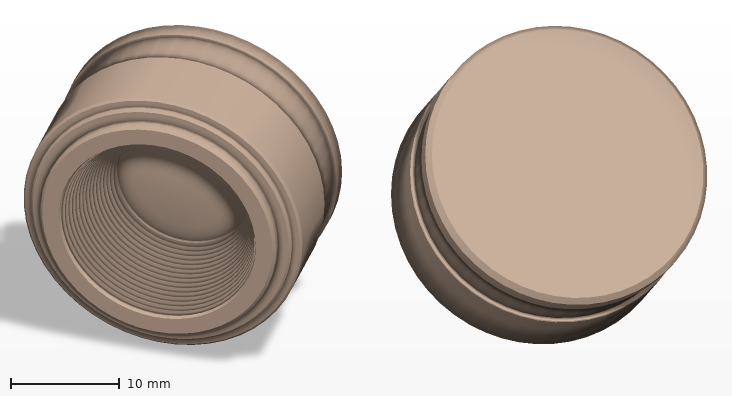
import cadquery as cq
import math

outer_radius = 13.37
total_length = 14.95

nose_radius = 11.298
nose_chamfer_radial = 0.27
nose_chamfer_length = 0.32
core_front = 1.07
core_radius = 12.5
core_chamfer = 0.21
neck_radius = 12.97
flange_start = 12.92
flange_front_chamfer = 0.1
flange_rear_chamfer = 0.5

sleeve_front = 1.6
sleeve_rear = 8.9
sleeve_front_chamfer = 0.21
sleeve_rear_chamfer = 0.08

mouth_radius = 9.45
mouth_chamfer_radial = 0.13
mouth_chamfer_length = 0.32
aperture_radius = 6.405
ridge_count = 16
ridge_undercut = 0.25
aperture_length = 0.32
lens_seat = 8.7

lens_radius = 7.1
lens_bulge = 0.8


def revolve_profile(sketch):
    """Turn a closed (radius, Y) profile about the Y axis."""
    return sketch.close().revolve(360, (0, 0, 0), (0, 1, 0))


def make_baffled_bore():
    """Space inside the bore, from the mouth to the lens seat."""
    first_radius = mouth_radius - mouth_chamfer_radial
    radial_step = (first_radius - aperture_radius) / ridge_count
    pitch = (lens_seat - aperture_length - mouth_chamfer_length) / ridge_count
    points = [(0, 0), (mouth_radius, 0), (first_radius, mouth_chamfer_length)]
    for ridge in range(ridge_count):
        crest_radius = first_radius - ridge * radial_step
        root_y = mouth_chamfer_length + (ridge + 1) * pitch
        points.append((crest_radius + ridge_undercut, root_y))
        points.append((crest_radius - radial_step, root_y))
    points.append((aperture_radius, lens_seat))
    points.append((0, lens_seat))
    return revolve_profile(cq.Workplane("XY").polyline(points))


def make_barrel():
    points = [
        (0, 0),
        (nose_radius - nose_chamfer_radial, 0),
        (nose_radius, nose_chamfer_length),
        (nose_radius, core_front),
        (core_radius - core_chamfer, core_front),
        (core_radius, core_front + core_chamfer),
        (core_radius, sleeve_rear),
        (neck_radius, sleeve_rear),
        (neck_radius, flange_start),
        (outer_radius - flange_front_chamfer, flange_start),
        (outer_radius, flange_start + flange_front_chamfer),
        (outer_radius, total_length - flange_rear_chamfer),
        (outer_radius - flange_rear_chamfer, total_length),
        (0, total_length),
    ]
    body = revolve_profile(cq.Workplane("XY").polyline(points))
    lens_recess = revolve_profile(
        cq.Workplane("XY").polyline(
            [(0, lens_seat), (lens_radius, lens_seat), (lens_radius, total_length), (0, total_length)]
        )
    )
    return body.cut(make_baffled_bore()).cut(lens_recess)


def make_sleeve():
    points = [
        (core_radius, sleeve_front),
        (outer_radius - sleeve_front_chamfer, sleeve_front),
        (outer_radius, sleeve_front + sleeve_front_chamfer),
        (outer_radius, sleeve_rear - sleeve_rear_chamfer),
        (outer_radius - sleeve_rear_chamfer, sleeve_rear),
        (core_radius, sleeve_rear),
    ]
    return revolve_profile(cq.Workplane("XY").polyline(points))


def make_lens():
    dome_radius = (aperture_radius**2 + lens_bulge**2) / (2 * lens_bulge)
    half_angle = math.asin(aperture_radius / dome_radius) / 2
    apex_y = lens_seat - lens_bulge
    dome_middle = (
        dome_radius * math.sin(half_angle),
        apex_y + dome_radius * (1 - math.cos(half_angle)),
    )
    profile = (
        cq.Workplane("XY")
        .moveTo(0, apex_y)
        .threePointArc(dome_middle, (aperture_radius, lens_seat))
        .lineTo(lens_radius, lens_seat)
        .lineTo(lens_radius, total_length)
        .lineTo(0, total_length)
    )
    return revolve_profile(profile)


barrel = make_barrel()
sleeve = make_sleeve()
lens = make_lens()

result = cq.Compound.makeCompound([barrel.val(), sleeve.val(), lens.val()])